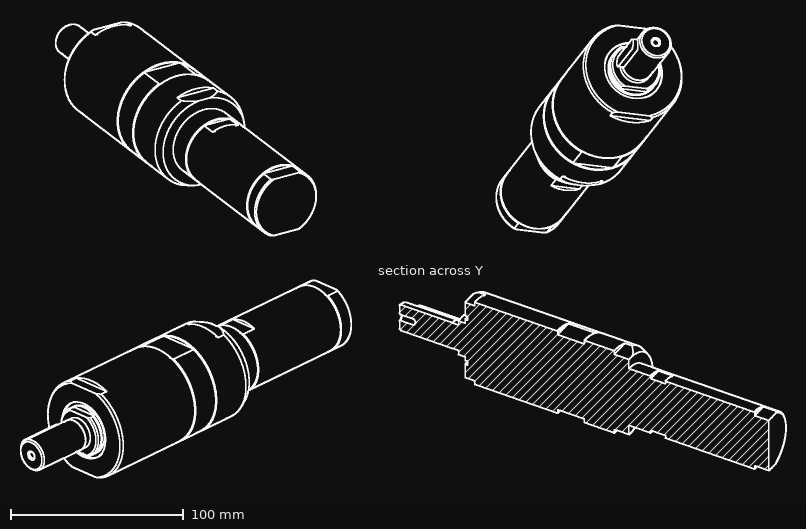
import cadquery as cq
import math

LENGTH = 247.5

SHAFT_DIA = 19.0
SHAFT_REAR_DIA = 18.8
SHAFT_STEP_X = 35.6
SHAFT_CHAMFER = 1.0

CENTRE_HOLE_DIA = 5.5
CENTRE_THREAD_DIA = 4.0
CENTRE_HOLE_DEPTH = 10.0
DRILL_TIP_ANGLE = 30

KEY_START_X = 4.5
KEY_LENGTH = 32.2
KEY_WIDTH = 6.5
KEY_TOP_Y = 12.4

COLLAR_START_X = 39.5
COLLAR_DIA = 30.0
COLLAR_CHAMFER = 1.0
COLLAR_GROOVE_X = 43.3
COLLAR_FLATS = 24.8
SEAL_RECESS_DIA = 35.0
SEAL_RECESS_DEPTH = 1.5

HOUSING_START_X = 44.0
HOUSING_END_X = 154.0
HOUSING_DIA = 60.0
HOUSING_CHAMFER_LENGTH = 1.7
HOUSING_CHAMFER_DEPTH = 1.0
HOUSING_FLATS = 54.7
HOUSING_TAPER_START_X = 148.7
HOUSING_TAPER_END_DIA = 55.2
FRONT_FLATS_END_X = 50.5
MIDDLE_FLATS_START_X = 106.2
MIDDLE_FLATS_END_X = 123.8
REAR_FLATS_START_X = 144.0

MOTOR_DIA = 41.5
MOTOR_END_CHAMFER = 0.7
MOTOR_FRONT_FLATS = 37.9
MOTOR_FRONT_FLATS_START_X = 168.5
MOTOR_FRONT_FLATS_END_X = 178.2
MOTOR_REAR_FLATS = 36.6
MOTOR_REAR_FLATS_START_X = 238.0

JOINT_GROOVE_WIDTH = 0.7
JOINT_GROOVE_DEPTH = 0.37


def cylinder(start_x, end_x, diameter):
    """Solid cylinder on the X axis between two stations."""
    return cq.Workplane("YZ", origin=(start_x, 0, 0)).circle(diameter / 2).extrude(end_x - start_x)


def revolve_profile(points):
    """Turn a closed (x, radius) outline about the X axis."""
    return cq.Workplane("XY").polyline(points).close().revolve(360, (0, 0, 0), (1, 0, 0))


def flats_cutter(start_x, end_x, across_flats):
    """Pair of blocks that leave parallel flats facing +Z and -Z."""
    size = 2 * HOUSING_DIA
    length = end_x - start_x
    block = cq.Workplane("XY").box(length, size, size, centered=(False, True, False))
    upper = block.translate((start_x, 0, across_flats / 2))
    return upper.union(upper.mirror("XY"))


def joint_groove(centre_x, diameter):
    """Ring-shaped cutter for a shallow V-groove around a cylinder."""
    radius = diameter / 2
    half_width = JOINT_GROOVE_WIDTH / 2
    return revolve_profile([
        (centre_x - half_width, radius),
        (centre_x, radius - JOINT_GROOVE_DEPTH),
        (centre_x + half_width, radius),
        (centre_x, radius + JOINT_GROOVE_DEPTH),
    ])


def make_shaft():
    front = cylinder(0, SHAFT_STEP_X, SHAFT_DIA).faces("<X").chamfer(SHAFT_CHAMFER)
    rear = cylinder(SHAFT_STEP_X, HOUSING_START_X, SHAFT_REAR_DIA)
    key = (
        cq.Workplane("XZ")
        .center(KEY_START_X + KEY_LENGTH / 2, 0)
        .slot2D(KEY_LENGTH, KEY_WIDTH)
        .extrude(-KEY_TOP_Y)
    )
    return front.union(rear).union(key)


def make_centre_hole():
    cone_depth = (CENTRE_HOLE_DIA - CENTRE_THREAD_DIA) / 2
    tip_depth = CENTRE_THREAD_DIA / 2 * math.tan(math.radians(DRILL_TIP_ANGLE))
    return revolve_profile([
        (0, 0),
        (0, CENTRE_HOLE_DIA / 2),
        (cone_depth, CENTRE_THREAD_DIA / 2),
        (CENTRE_HOLE_DEPTH, CENTRE_THREAD_DIA / 2),
        (CENTRE_HOLE_DEPTH + tip_depth, 0),
    ])


def make_collar():
    collar = cylinder(COLLAR_START_X, HOUSING_START_X + SEAL_RECESS_DEPTH, COLLAR_DIA)
    collar = collar.faces("<X").chamfer(COLLAR_CHAMFER)
    collar = collar.cut(joint_groove(COLLAR_GROOVE_X, COLLAR_DIA))
    return collar.cut(flats_cutter(COLLAR_START_X, HOUSING_START_X, COLLAR_FLATS))


def make_housing():
    radius = HOUSING_DIA / 2
    housing = revolve_profile([
        (HOUSING_START_X, 0),
        (HOUSING_START_X, radius - HOUSING_CHAMFER_DEPTH),
        (HOUSING_START_X + HOUSING_CHAMFER_LENGTH, radius),
        (HOUSING_TAPER_START_X, radius),
        (HOUSING_END_X, HOUSING_TAPER_END_DIA / 2),
        (HOUSING_END_X, 0),
    ])
    recess = cylinder(HOUSING_START_X, HOUSING_START_X + SEAL_RECESS_DEPTH, SEAL_RECESS_DIA)
    housing = housing.cut(recess)
    for joint_x in (MIDDLE_FLATS_START_X, MIDDLE_FLATS_END_X):
        housing = housing.cut(joint_groove(joint_x, HOUSING_DIA))
    for start_x, end_x in (
        (HOUSING_START_X, FRONT_FLATS_END_X),
        (MIDDLE_FLATS_START_X, MIDDLE_FLATS_END_X),
        (REAR_FLATS_START_X, HOUSING_END_X),
    ):
        housing = housing.cut(flats_cutter(start_x, end_x, HOUSING_FLATS))
    return housing


def make_motor():
    motor = cylinder(HOUSING_END_X, LENGTH, MOTOR_DIA).faces(">X").chamfer(MOTOR_END_CHAMFER)
    for joint_x in (MOTOR_FRONT_FLATS_START_X, MOTOR_REAR_FLATS_START_X):
        motor = motor.cut(joint_groove(joint_x, MOTOR_DIA))
    front_flats = flats_cutter(MOTOR_FRONT_FLATS_START_X, MOTOR_FRONT_FLATS_END_X, MOTOR_FRONT_FLATS)
    rear_flats = flats_cutter(MOTOR_REAR_FLATS_START_X, LENGTH, MOTOR_REAR_FLATS)
    return motor.cut(front_flats).cut(rear_flats)


result = (
    make_housing()
    .union(make_motor())
    .union(make_collar())
    .union(make_shaft())
    .cut(make_centre_hole())
)